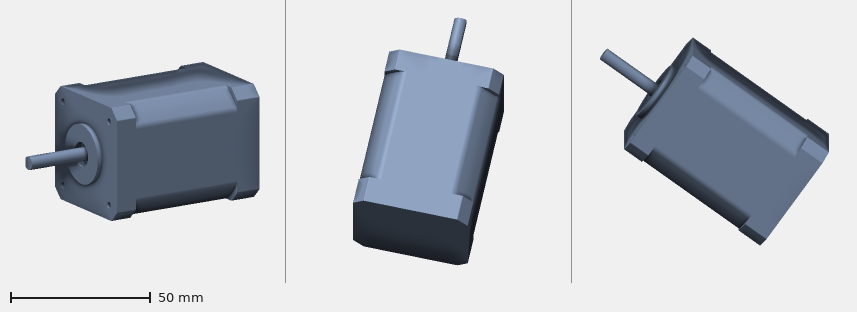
import cadquery as cq

total_length = 84.35
width = 42.0

rear_cap_length = 9.45
stator_length = 42.7
front_cap_length = 7.9
boss_length = 1.9

cap_corner_cut = 3.9
cap_edge_radius = 0.5
mount_hole_diameter = 2.45
mount_hole_offset = 15.5
mount_hole_depth = 4.5

stator_corner_diameter = 50.3
stator_blend_radius = 3.0

boss_diameter = 22.0
bore_diameter = 9.1
bore_depth = 2.5
shaft_diameter = 5.0
shaft_flat_depth = 0.5
shaft_flat_gap = 0.4

boss_face_y = -boss_length
stator_front_y = front_cap_length
stator_rear_y = stator_front_y + stator_length
rear_y = stator_rear_y + rear_cap_length
shaft_tip_y = rear_y - total_length


def plane_at(y):
    """Work plane across the motor axis at the given station."""
    return cq.Workplane("XZ", origin=(0, y, 0))


def bar(diameter, start_y, end_y):
    """Round bar on the motor axis from start_y to end_y."""
    return plane_at(start_y).circle(diameter / 2).extrude(start_y - end_y)


def square_bar(start_y, end_y):
    return plane_at(start_y).rect(width, width).extrude(start_y - end_y)


def end_cap(start_y, end_y):
    """Square block with cut corners and slightly rounded long edges."""
    block = square_bar(start_y, end_y)
    return block.edges("|Y").chamfer(cap_corner_cut).edges("|Y").fillet(cap_edge_radius)


def stator():
    """Square bar with round corners that blend into the flat sides."""
    core = square_bar(stator_front_y, stator_rear_y)
    core = core.intersect(bar(stator_corner_diameter, stator_front_y, stator_rear_y))
    return core.edges("|Y").fillet(stator_blend_radius)


def mount_holes():
    pitch = 2 * mount_hole_offset
    centres = plane_at(0).rect(pitch, pitch, forConstruction=True).vertices()
    return centres.circle(mount_hole_diameter / 2).extrude(-mount_hole_depth)


def shaft():
    """Round shaft rooted at the bore floor, with a flat on its -X side."""
    rod = bar(shaft_diameter, shaft_tip_y, boss_face_y + bore_depth)
    flat_length = boss_face_y - shaft_flat_gap - shaft_tip_y
    flat_x = shaft_diameter / 2 - shaft_flat_depth
    flat_cutter = cq.Workplane("XY").box(
        shaft_diameter, flat_length, shaft_diameter, centered=(True, False, True)
    ).translate((-flat_x - shaft_diameter / 2, shaft_tip_y, 0))
    return rod.cut(flat_cutter)


housing = end_cap(0, stator_front_y)
housing = housing.union(stator())
housing = housing.union(end_cap(stator_rear_y, rear_y))
housing = housing.union(bar(boss_diameter, boss_face_y, 0))
housing = housing.cut(bar(bore_diameter, boss_face_y, boss_face_y + bore_depth))
housing = housing.cut(mount_holes())

result = housing.union(shaft())